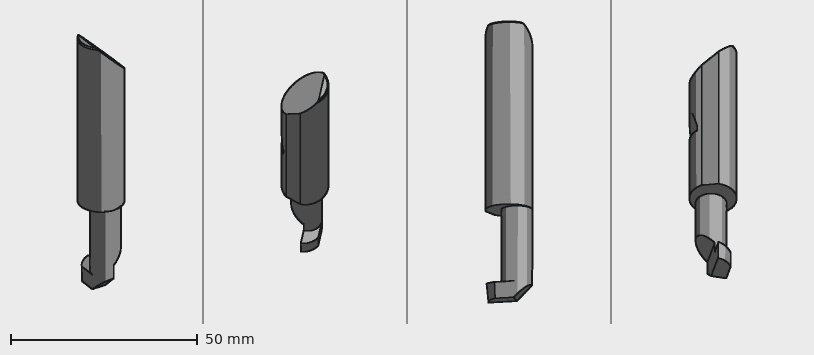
import cadquery as cq
import math

length = 76.2
shank_radius = 6.36
shank_bottom = 25.4
rim_chamfer = 0.4

bevel_start_y = -4.5

flat_arc = 42.0

notch_depth = 1.15
notch_bottom = 45.35
notch_floor_height = 1.3
notch_top = 53.95

neck_radius = 4.2
neck_x = shank_radius - neck_radius
relief_bottom = 8.2

tooth_height = 5.2
tooth_top_drop = 0.6
tooth_tip_x = -6.2
tooth_corner_x = -3.1
tip_taper = 0.5
corner_taper = 0.2
flank_bulge = 0.6


def prism_along_x(points):
    """Extrude a YZ outline past both sides of the shank."""
    return cq.Workplane("YZ").polyline(points).close().extrude(2 * shank_radius, both=True)


def make_shank():
    shank = (
        cq.Workplane("XY", origin=(0, 0, shank_bottom))
        .circle(shank_radius)
        .extrude(length - shank_bottom)
        .faces(">Z")
        .chamfer(rim_chamfer)
    )
    bevel_run = 2 * shank_radius - bevel_start_y
    bevel = prism_along_x([
        (bevel_start_y, length),
        (bevel_start_y + bevel_run, length - bevel_run),
        (bevel_start_y + bevel_run, length),
    ])
    floor_y = shank_radius - notch_depth
    notch = prism_along_x([
        (shank_radius, notch_bottom),
        (floor_y, notch_bottom),
        (floor_y, notch_bottom + notch_floor_height),
        (shank_radius, notch_top),
    ])
    flat_distance = shank_radius * math.cos(math.radians(flat_arc / 2))
    flat = (
        cq.Workplane("XY")
        .box(shank_radius, 2 * shank_radius, length, centered=(False, True, False))
        .translate((flat_distance, 0, 0))
        .rotate((0, 0, 0), (0, 0, 1), 180 - flat_arc / 2)
    )
    return shank.cut(bevel).cut(notch).cut(flat)


def make_neck():
    neck = cq.Workplane("XY").center(neck_x, 0).circle(neck_radius).extrude(shank_bottom)
    relief = prism_along_x([
        (0, 0),
        (0, relief_bottom),
        (shank_radius, relief_bottom + shank_radius),
        (shank_radius, 0),
    ])
    corner = (
        cq.Workplane("XZ")
        .polyline([(neck_x, 0), (shank_radius, 0), (shank_radius, neck_radius)])
        .close()
        .extrude(shank_radius, both=True)
    )
    return neck.cut(relief).cut(corner)


def tooth_outline(plane, tip_x, corner_x):
    """Plan outline of the tooth, with its curved flank from tip to front corner."""
    chord_x = corner_x - tip_x
    chord = math.hypot(chord_x, neck_radius)
    middle = (
        (tip_x + corner_x) / 2 - flank_bulge * neck_radius / chord,
        -neck_radius / 2 - flank_bulge * chord_x / chord,
    )
    return (
        plane.moveTo(neck_x, 0)
        .lineTo(tip_x, 0)
        .threePointArc(middle, (corner_x, -neck_radius))
        .lineTo(neck_x, -neck_radius)
        .close()
    )


def make_tooth():
    base = tooth_outline(cq.Workplane("XY"), tooth_tip_x + tip_taper, tooth_corner_x + corner_taper)
    tooth = tooth_outline(
        base.workplane(offset=tooth_height), tooth_tip_x, tooth_corner_x
    ).loft(ruled=True)
    top_slope = prism_along_x([
        (0, tooth_height),
        (-2 * neck_radius, tooth_height - 2 * tooth_top_drop),
        (-2 * neck_radius, tooth_height),
    ])
    return tooth.cut(top_slope)


result = make_shank().union(make_neck()).union(make_tooth())